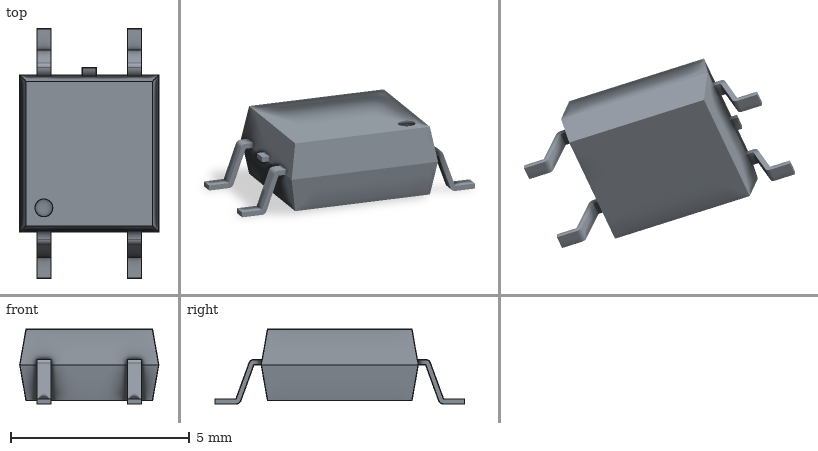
import cadquery as cq
import math

LEAD_SPAN = 7.0
BODY_WIDTH = 3.9
BODY_LENGTH = 4.4
BODY_TOP = 2.1
STANDOFF = 0.1
DRAFT_ANGLE = 10.0
LEAD_THICKNESS = 0.15
LEAD_WIDTH = 0.4
LEAD_PITCH = 2.54
LEAD_SLANT = 20.0
SHOULDER_LENGTH = 0.2
MARK_DIAMETER = 0.5
MARK_DEPTH = 0.105
MARK_EDGE_DISTANCE = 0.505

half_height = (BODY_TOP - STANDOFF) / 2
parting_z = STANDOFF + half_height
draft_inset = half_height * math.tan(math.radians(DRAFT_ANGLE))
shoulder_end = BODY_LENGTH / 2 + SHOULDER_LENGTH
first_lead_x = -LEAD_PITCH / 2
mark_y = -(BODY_LENGTH / 2 - draft_inset - MARK_EDGE_DISTANCE)


def wall_position(z):
    """Y position of the sloped rear housing wall at a height above the parting plane."""
    return BODY_LENGTH / 2 - (z - parting_z) * math.tan(math.radians(DRAFT_ANGLE))


def make_housing():
    """Two tapered halves meeting at the parting plane, with a pin-one mark on top."""
    upper = (
        cq.Workplane("XY")
        .workplane(offset=parting_z)
        .rect(BODY_WIDTH, BODY_LENGTH)
        .extrude(half_height, taper=DRAFT_ANGLE)
    )
    lower = upper.mirror("XY", (0, 0, parting_z))
    mark = (
        cq.Workplane("XY")
        .workplane(offset=BODY_TOP - MARK_DEPTH)
        .center(first_lead_x, mark_y)
        .circle(MARK_DIAMETER / 2)
        .extrude(MARK_DEPTH)
    )
    return upper.union(lower).cut(mark)


def make_lead(x):
    """Gull-wing lead on the +Y side: sharp inside bends, round outside bends."""
    slant = math.radians(LEAD_SLANT)
    shoulder_top = parting_z + LEAD_THICKNESS
    shank_height = parting_z - LEAD_THICKNESS
    foot_start = shoulder_end + shank_height * math.tan(slant) + LEAD_THICKNESS / math.cos(slant)
    foot_tip = LEAD_SPAN / 2

    def on_bend(center, angle):
        """Point on a bend's outside arc, at an angle from the +Y direction."""
        return (
            center[0] + LEAD_THICKNESS * math.cos(angle),
            center[1] + LEAD_THICKNESS * math.sin(angle),
        )

    upper_bend = (shoulder_end, parting_z)
    lower_bend = (foot_start, LEAD_THICKNESS)
    mid_angle = (slant + math.pi / 2) / 2
    profile = (
        cq.Workplane("YZ")
        .workplane(offset=x - LEAD_WIDTH / 2)
        .moveTo(wall_position(parting_z), parting_z)
        .lineTo(wall_position(shoulder_top), shoulder_top)
        .lineTo(shoulder_end, shoulder_top)
        .threePointArc(on_bend(upper_bend, mid_angle), on_bend(upper_bend, slant))
        .lineTo(*lower_bend)
        .lineTo(foot_tip, LEAD_THICKNESS)
        .lineTo(foot_tip, 0)
        .lineTo(foot_start, 0)
        .threePointArc(
            on_bend(lower_bend, mid_angle + math.pi),
            on_bend(lower_bend, slant + math.pi),
        )
        .lineTo(*upper_bend)
        .close()
    )
    return profile.extrude(LEAD_WIDTH)


def make_tab():
    """Short trimmed tab in the middle of the +Y side, level with the lead shoulders."""
    tab_top = parting_z + LEAD_THICKNESS
    return (
        cq.Workplane("YZ")
        .workplane(offset=-LEAD_WIDTH / 2)
        .moveTo(wall_position(parting_z), parting_z)
        .lineTo(wall_position(tab_top), tab_top)
        .lineTo(shoulder_end, tab_top)
        .lineTo(shoulder_end, parting_z)
        .close()
        .extrude(LEAD_WIDTH)
    )


housing = make_housing()
tab = make_tab()

leads = []
for lead_x in (first_lead_x, -first_lead_x):
    rear_lead = make_lead(lead_x)
    leads.append(rear_lead.val())
    leads.append(rear_lead.mirror("XZ").val())

result = cq.Compound.makeCompound([housing.val(), tab.val(), *leads])